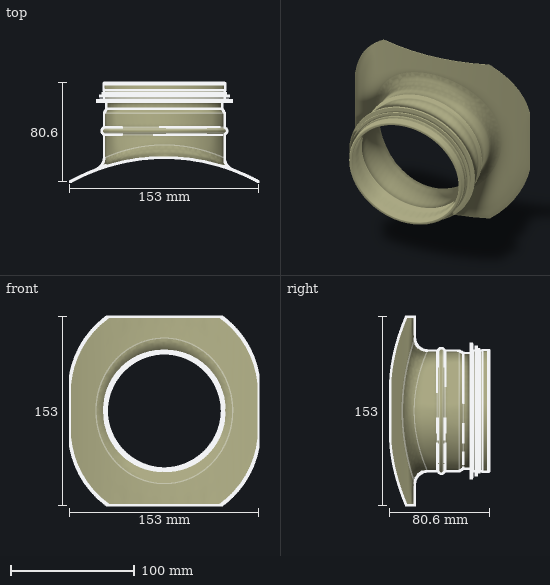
import cadquery as cq
import math

sheet = 0.5
duct_radius = 157.5
saddle_size = 153.0
overall_depth = 80.59

tube_radius = 98.05 / 2
neck_radius = 94.25 / 2
band_radius = 99.05 / 2

saddle_fillet = 10.0
flare_inner_fillet = saddle_fillet + sheet

corner_radius = 75.8
corner_centre_x = 1.7
corner_centre_z = 15.4
bevel_width = 1.0
bevel_depth = 0.35

fold_radius = 1.4
mouth_radius = 0.6

hem_end = 5.9
ridge_start = 7.9
ridge_crest_start = 8.5
ridge_crest_end = 8.9
ridge_end = 9.1
small_lip_start = 10.2
small_lip_end = 11.2
large_lip_start = 13.6
large_lip_tip_start = 14.1
seal_end = 15.6
neck_end = 21.3
cone_end = 24.6
bead_middle = 39.1

bead_half_base = 3.0
bead_half_crown = 1.5
bead_shoulder_height = 1.5
bead_height = 2.0
bend_radius = 0.8

small_lip_shoulder = 0.5

seal_bore_radius = 95.45 / 2
ridge_radius = 100.1 / 2
small_lip_radius = 104.45 / 2
large_lip_radius = 109.45 / 2

half_size = saddle_size / 2
saddle_outer_radius = duct_radius + sheet
edge_angle = math.asin(half_size / saddle_outer_radius)
tube_end = duct_radius * math.cos(edge_angle) + overall_depth
fold_y = tube_end - fold_radius
flare_limit_radius = (tube_radius + saddle_fillet + half_size) / 2
tube_root = duct_radius / 2


def from_end(distance):
    """Y position at a distance from the hemmed tube end."""
    return tube_end - distance


def revolve_about_tube_axis(profile):
    return profile.revolve(360, (0, 0, 0), (0, 1, 0))


def bend_edges(body, y):
    """Circular edges lying in the plane at height y along the tube."""
    reach = saddle_size
    plane_box = cq.selectors.BoxSelector((-reach, y - sheet / 5, -reach), (reach, y + sheet / 5, reach))
    return body.edges(plane_box).edges("%CIRCLE")


def tube_blank(inset):
    """Solid of revolution inside the tube wall, moved inwards by inset, up to the hem fold."""
    main = tube_radius - inset
    neck = neck_radius - inset
    profile = (
        cq.Workplane("XY")
        .moveTo(0, tube_root)
        .lineTo(main, tube_root)
        .lineTo(main, from_end(cone_end))
        .lineTo(neck, from_end(neck_end))
        .lineTo(neck, fold_y)
        .lineTo(0, fold_y)
        .close()
    )
    blank = revolve_about_tube_axis(profile)
    for y in (from_end(cone_end), from_end(neck_end)):
        blank = bend_edges(blank, y).fillet(bend_radius)
    return blank


def add_bead(body):
    """Raised stop bead around the outside of the tube, blended at its feet."""
    middle = from_end(bead_middle)
    shoulder = tube_radius + bead_shoulder_height
    profile = (
        cq.Workplane("XY")
        .moveTo(0, middle - bead_half_base)
        .lineTo(tube_radius, middle - bead_half_base)
        .lineTo(shoulder, middle - bead_half_crown)
        .threePointArc((tube_radius + bead_height, middle), (shoulder, middle + bead_half_crown))
        .lineTo(tube_radius, middle + bead_half_base)
        .lineTo(0, middle + bead_half_base)
        .close()
    )
    body = body.union(revolve_about_tube_axis(profile))
    for y in (middle - bead_half_base, middle + bead_half_base):
        body = bend_edges(body, y).fillet(bend_radius)
    return body


def fillet_flare(body, radius, cylinder_radius, fillet_radius):
    """Round the saddle-shaped edge where a tube of this radius meets a duct cylinder."""
    lowest = math.sqrt(cylinder_radius**2 - radius**2)
    reach = radius + sheet
    flare_box = cq.selectors.BoxSelector(
        (-reach, lowest - sheet, -reach),
        (reach, cylinder_radius + sheet, reach),
        boundingbox=True,
    )
    return body.edges(flare_box).fillet(fillet_radius)


def duct_cylinder():
    return cq.Workplane("XY").circle(duct_radius).extrude(saddle_size, both=True)


def saddle_blank():
    """Pie-shaped block under the saddle's outer face, with radial side edges."""
    side_x = half_size
    side_y = saddle_outer_radius * math.cos(edge_angle)
    return (
        cq.Workplane("XY")
        .lineTo(side_x, side_y)
        .threePointArc((0, saddle_outer_radius), (-side_x, side_y))
        .close()
        .extrude(half_size, both=True)
    )


def corner_cutter():
    """Corner block less a round column: removes the +X, +Z corner outside the rounding arc."""
    start_x = corner_centre_x + math.sqrt(corner_radius**2 - (half_size - corner_centre_z) ** 2)
    start_z = corner_centre_z + math.sqrt(corner_radius**2 - (half_size - corner_centre_x) ** 2)
    block = cq.Workplane("XY").box(half_size, tube_end, half_size, centered=False)
    block = block.translate((start_x, 0, start_z))
    column = cq.Workplane("XZ").center(corner_centre_x, corner_centre_z).circle(corner_radius).extrude(-tube_end)
    return block.cut(column)


def saddle_sheet():
    """Curved saddle plate without the tube, its four corners rounded and bevelled inside."""
    plate = saddle_blank().cut(duct_cylinder())
    cutter = corner_cutter()
    for side_cutter in (cutter, cutter.mirror("YZ")):
        for corner in (side_cutter, side_cutter.mirror("XY")):
            plate = plate.cut(corner)
    inner_face = plate.faces(cq.selectors.NearestToPointSelector((0, 0, 0)))
    corner_edges = inner_face.edges("not(%LINE or %CIRCLE)")
    return corner_edges.chamfer(bevel_width, bevel_depth)


def hem():
    """Tube end folded outwards and back over the seal."""
    bore = neck_radius - sheet
    cavity_top = tube_end - sheet
    cavity_radius = band_radius - sheet
    hem_edge = from_end(hem_end)
    profile = (
        cq.Workplane("XY")
        .moveTo(bore, fold_y)
        .lineTo(bore, tube_end - mouth_radius)
        .radiusArc((bore + mouth_radius, tube_end), mouth_radius)
        .lineTo(band_radius - fold_radius, tube_end)
        .radiusArc((band_radius, fold_y), fold_radius)
        .lineTo(band_radius, hem_edge)
        .lineTo(cavity_radius, hem_edge)
        .lineTo(cavity_radius, fold_y)
        .radiusArc((band_radius - fold_radius, cavity_top), sheet - fold_radius)
        .lineTo(neck_radius, cavity_top)
        .lineTo(neck_radius, fold_y)
        .close()
    )
    return revolve_about_tube_axis(profile)


def flared_tube():
    """Tube wall flaring smoothly into the middle of the saddle."""
    outside = saddle_blank().union(add_bead(tube_blank(0)))
    outside = fillet_flare(outside, tube_radius, saddle_outer_radius, saddle_fillet)
    inside = duct_cylinder().union(tube_blank(sheet))
    inside = fillet_flare(inside, tube_radius - sheet, duct_radius, flare_inner_fillet)
    return outside.cut(inside)


def make_collar():
    """Sheet metal collar: saddle rim, flared tube and hemmed end in one solid."""
    middle = cq.Workplane("XZ").circle(flare_limit_radius).extrude(-tube_end)
    saddle_rim = saddle_sheet().cut(middle)
    return flared_tube().intersect(middle).union(saddle_rim).union(hem())


def make_seal():
    """Ring seal with a small ridge and two lips, held under the hem."""
    profile = (
        cq.Workplane("XY")
        .moveTo(seal_bore_radius, fold_y)
        .lineTo(tube_radius, fold_y)
        .lineTo(tube_radius, from_end(ridge_start))
        .lineTo(ridge_radius, from_end(ridge_crest_start))
        .lineTo(ridge_radius, from_end(ridge_crest_end))
        .lineTo(tube_radius, from_end(ridge_end))
        .lineTo(tube_radius, from_end(small_lip_start - small_lip_shoulder))
        .lineTo(tube_radius + small_lip_shoulder, from_end(small_lip_start))
        .lineTo(small_lip_radius, from_end(small_lip_start))
        .lineTo(small_lip_radius, from_end(small_lip_end))
        .lineTo(tube_radius, from_end(small_lip_end))
        .lineTo(tube_radius, from_end(large_lip_start))
        .lineTo(large_lip_radius, from_end(large_lip_tip_start))
        .lineTo(large_lip_radius, from_end(seal_end))
        .lineTo(seal_bore_radius, from_end(seal_end))
        .close()
    )
    return revolve_about_tube_axis(profile)


collar = make_collar()
seal = make_seal()
result = cq.Compound.makeCompound([collar.val(), seal.val()])